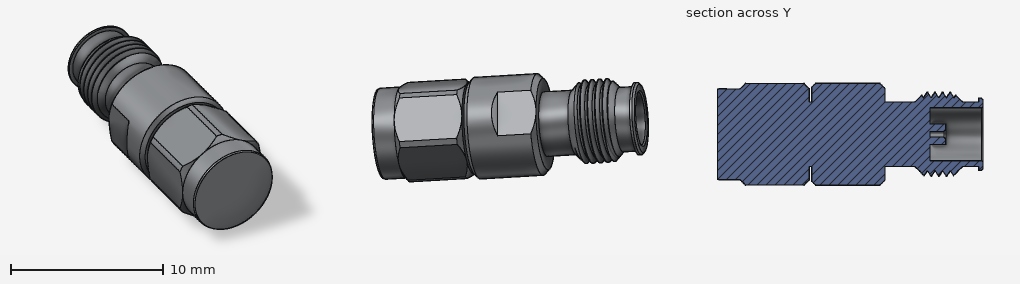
import cadquery as cq
import math

total_length = 17.46

tube_radius = 2.13
collar_length = 0.3
collar_radius = 2.4
collar_chamfer = 0.14

thread_start = 1.35
thread_end = 4.49
crest_radius = 2.75
root_radius = 2.41
crest_flat = 0.05
groove_turns = 6
groove_run_in = 0.07
tool_clearance = 0.026

body_start = 6.45
body_end = 11.26
body_radius = 3.35
body_rear_chamfer = 0.26
flat_distance = 3.0
flat_end = 9.01
body_front_chamfer = body_radius - flat_distance

nut_start = 11.42
nut_end = 15.95
nut_chamfer = body_radius - flat_distance
sleeve_radius = flat_distance
sleeve_chamfer = 0.12
sleeve_edge_drop = 0.05

bore_radius = 1.73
bore_depth = 3.5
bore_chamfer = 0.1
contact_radius = 0.68
contact_length = 1.05
contact_hole_radius = 0.17
contact_hole_chamfer = 0.14


def turned(profile):
    """Revolve an (x, radius) outline about the X axis."""
    return cq.Workplane("XY").polyline(profile).close().revolve(360, (0, 0, 0), (1, 0, 0))


def drum(start, end, radius, start_chamfer, end_chamfer):
    """Cylinder with a 45 degree chamfer on each end."""
    return turned([
        (start, 0),
        (start, radius - start_chamfer),
        (start + start_chamfer, radius),
        (end - end_chamfer, radius),
        (end, radius - end_chamfer),
        (end, 0),
    ])


def cylinder(start, end, radius):
    return cq.Workplane("YZ", origin=(start, 0, 0)).circle(radius).extrude(end - start)


def make_tube():
    collar = turned([
        (0, 0),
        (0, collar_radius - collar_chamfer),
        (collar_chamfer, collar_radius),
        (collar_length, collar_radius),
        (collar_length, 0),
    ])
    return cylinder(0, nut_start + nut_chamfer, tube_radius).union(collar)


def make_thread():
    """Band with conical ends, cut by a right-handed V groove that runs out through both cones."""
    cone = crest_radius - tube_radius
    band = drum(thread_start, thread_end, crest_radius, cone, cone)

    groove_start = thread_start + groove_run_in
    groove_length = thread_end - groove_run_in - groove_start
    pitch = groove_length / groove_turns
    half_width = (pitch - crest_flat) / 2
    flank_slope = half_width / (crest_radius - root_radius)
    tool_radius = crest_radius + tool_clearance
    tool_half_width = half_width + tool_clearance * flank_slope

    helix = cq.Wire.makeHelix(pitch, groove_length, root_radius)
    groove = (
        cq.Workplane("XZ")
        .polyline([(root_radius, 0), (tool_radius, tool_half_width), (tool_radius, -tool_half_width)])
        .close()
        .sweep(cq.Workplane(helix), isFrenet=True)
        .rotate((0, 0, 0), (0, 1, 0), 90)
        .rotate((0, 0, 0), (1, 0, 0), 180)
        .translate((groove_start, 0, 0))
    )
    return band.cut(groove)


def make_body():
    """Chamfered drum with flats on the -Y and +Y sides, each ending in a 45 degree ramp."""
    body = drum(body_start, body_end, body_radius, body_front_chamfer, body_rear_chamfer)
    flat_depth = body_radius - flat_distance
    for side in (-1, 1):
        flat_cut = (
            cq.Workplane("XY")
            .polyline([
                (body_start, side * flat_distance),
                (flat_end, side * flat_distance),
                (flat_end + flat_depth, side * body_radius),
                (body_start, side * body_radius),
            ])
            .close()
            .extrude(body_radius, both=True)
        )
        body = body.cut(flat_cut)
    return body


def make_nut():
    """Hexagon with flats facing -Y and +Y, its corners trimmed by a chamfered drum."""
    across_corners = 2 * flat_distance / math.cos(math.pi / 6)
    hexagon = (
        cq.Workplane("YZ", origin=(nut_start, 0, 0))
        .transformed(rotate=(0, 0, 90))
        .polygon(6, across_corners)
        .extrude(nut_end - nut_start)
    )
    nut = hexagon.intersect(drum(nut_start, nut_end, body_radius, nut_chamfer, nut_chamfer))
    sleeve = turned([
        (nut_start + nut_chamfer, 0),
        (nut_end - nut_chamfer, 0),
        (nut_end - nut_chamfer, sleeve_radius),
        (total_length - sleeve_chamfer, sleeve_radius),
        (total_length, sleeve_radius - sleeve_edge_drop),
        (total_length, 0),
    ])
    return nut.union(sleeve)


def make_socket_bore():
    """Space inside the socket, leaving a centre contact with its own chamfered blind hole."""
    contact_front = bore_depth - contact_length
    return turned([
        (0, 0),
        (0, bore_radius + bore_chamfer),
        (bore_chamfer, bore_radius),
        (bore_depth, bore_radius),
        (bore_depth, contact_radius),
        (contact_front, contact_radius),
        (contact_front, contact_hole_radius + contact_hole_chamfer),
        (contact_front + contact_hole_chamfer, contact_hole_radius),
        (bore_depth, contact_hole_radius),
        (bore_depth, 0),
    ])


result = (
    make_tube()
    .union(make_thread())
    .union(make_body())
    .union(make_nut())
    .cut(make_socket_bore())
)